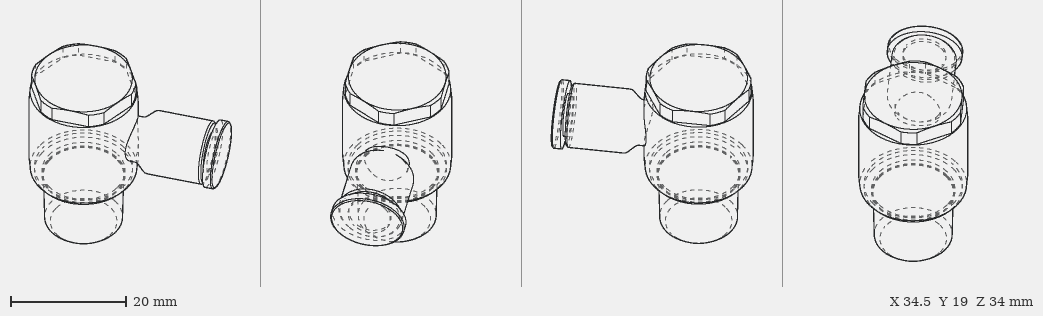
import cadquery as cq
import math

body_radius = 9.5
body_end_radius = 9.3
body_bottom = 13.0
body_height = 18.05
body_taper_height = 2.5
body_top = body_bottom + body_height

hex_sides = 6
hex_turn = 30
hex_across_flats = 17.02
hex_corner_radius = 9.13
hex_height = 2.95
hex_face_radius = 8.47
hex_chamfer_height = 0.25

seal_radius = 8.55
seal_height = 1.0
shoulder_radius = 7.25
shoulder_height = 1.0
shoulder_chamfer = 0.1
stud_top_radius = 7.0
stud_bottom_radius = 6.8
stud_chamfer = 1.0
seal_bottom = body_bottom - seal_height
shoulder_bottom = seal_bottom - shoulder_height

arm_height = 22.0
neck_radius = 4.0
barrel_radius = 5.6
cone_start = 10.45
cone_angle = 42
cone_fillet = 1.0
barrel_end = 22.65
barrel_chamfer_length = 0.35
barrel_chamfer_depth = 0.3
cone_end = cone_start + (barrel_radius - neck_radius) / math.tan(math.radians(cone_angle))

sleeve_radius = 3.75
collar_start = 23.3
collar_end = 24.95
collar_half_width = 6.55
collar_half_height = 5.48
collar_chamfer = 0.25


def make_body():
    """Body, seal step, shoulder and stud as one turned profile."""
    return (
        cq.Workplane("XZ")
        .moveTo(0, 0)
        .lineTo(stud_bottom_radius - stud_chamfer, 0)
        .lineTo(stud_bottom_radius, stud_chamfer)
        .lineTo(stud_top_radius, shoulder_bottom)
        .lineTo(shoulder_radius - shoulder_chamfer, shoulder_bottom)
        .lineTo(shoulder_radius, shoulder_bottom + shoulder_chamfer)
        .lineTo(shoulder_radius, seal_bottom)
        .lineTo(seal_radius, seal_bottom)
        .lineTo(seal_radius, body_bottom)
        .lineTo(body_end_radius, body_bottom)
        .lineTo(body_radius, body_bottom + body_taper_height)
        .lineTo(body_radius, body_top - body_taper_height)
        .lineTo(body_end_radius, body_top)
        .lineTo(0, body_top)
        .close()
        .revolve(360, (0, 0, 0), (0, 1, 0))
    )


def make_hex_head():
    """Hexagon with two flats facing Y, its corners and top edge turned down."""
    hexagon = (
        cq.Workplane("XY", origin=(0, 0, body_top))
        .polygon(hex_sides, hex_across_flats, circumscribed=True)
        .extrude(hex_height)
        .rotate((0, 0, 0), (0, 0, 1), hex_turn)
    )
    turned_blank = (
        cq.Workplane("XY", origin=(0, 0, body_top))
        .circle(hex_corner_radius)
        .extrude(hex_height)
        .faces(">Z")
        .chamfer(hex_chamfer_height, hex_corner_radius - hex_face_radius)
    )
    return hexagon.intersect(turned_blank)


def make_arm():
    """Neck, cone, barrel and sleeve, starting at the middle of the body."""
    profile = (
        cq.Workplane("XZ", origin=(0, 0, arm_height))
        .moveTo(0, 0)
        .lineTo(0, neck_radius)
        .lineTo(cone_start, neck_radius)
        .lineTo(cone_end, barrel_radius)
        .lineTo(barrel_end - barrel_chamfer_length, barrel_radius)
        .lineTo(barrel_end, barrel_radius - barrel_chamfer_depth)
        .lineTo(barrel_end, sleeve_radius)
        .lineTo(collar_start, sleeve_radius)
        .lineTo(collar_start, 0)
        .close()
    )
    arm = profile.revolve(360, (0, 0, 0), (1, 0, 0))
    reach = barrel_radius + cone_fillet
    cone_zone = cq.selectors.BoxSelector(
        (cone_start - cone_fillet, -reach, arm_height - reach),
        (cone_end + cone_fillet, reach, arm_height + reach),
        boundingbox=True,
    )
    return arm.edges(cone_zone).edges("%CIRCLE").fillet(cone_fillet)


def make_collar():
    """Elliptical disc with its outer edge chamfered."""
    return (
        cq.Workplane("YZ", origin=(collar_start, 0, arm_height))
        .ellipse(collar_half_width, collar_half_height)
        .extrude(collar_end - collar_start)
        .faces(">X")
        .chamfer(collar_chamfer)
    )


result = make_body().union(make_hex_head()).union(make_arm()).union(make_collar())